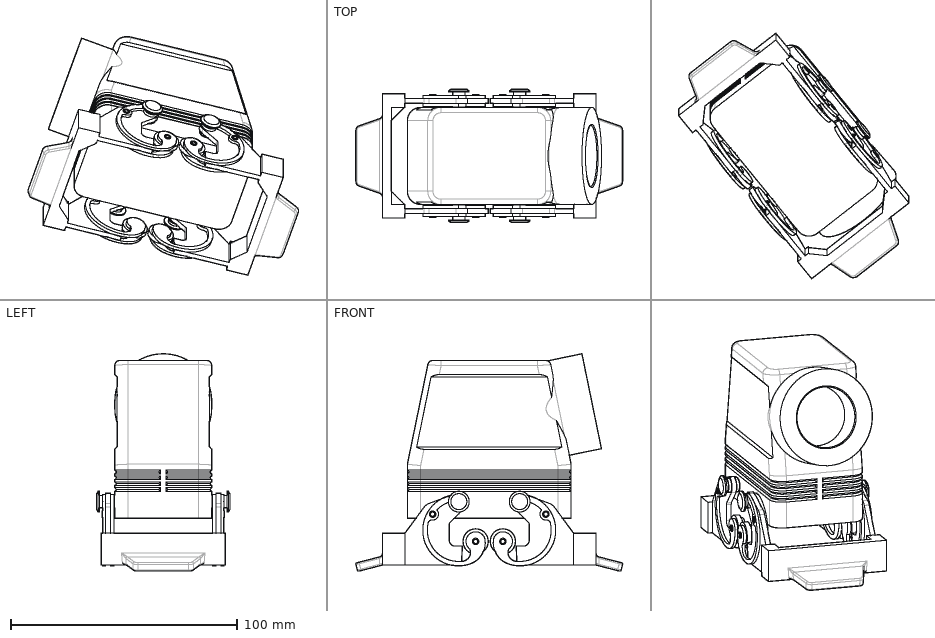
import cadquery as cq
import math


hood_length = 72.5
hood_width = 43.0
hood_height = 69.9
draft_start = 24.0
draft_angle = 11.6
hood_corner_radius = 5.9
hood_top_radius = 2.4

panel_depth = 1.1
panel_bottom = 30.6
panel_top = 63.7

groove_count = 4
groove_depth = 0.8
lowest_groove = 12.8
groove_pitch = 2.6
groove_web = 2.5

entry_diameter = hood_width
entry_bore = 26.9
entry_bore_chamfer = 0.5
entry_face_x = 45.3
entry_face_z = 51.8
entry_straight = 14.9
entry_cone = 7.5
entry_taper = 1.4

peg_x = -13.5
peg_z = 7.4
peg_radius = 2.78
peg_head_radius = 4.6
peg_head_height = 1.3
peg_head_bevel = 0.7
peg_cap_radius = 3.5
peg_end = 29.5

frame_outer_x = -47.2
frame_inner_x = -37.3
frame_width = 55.0
frame_top = -6.5
frame_bottom = -20.7
frame_wall = 3.9
gusset_leg = 5.9
gusset_drop = 1.4

tab_tilt = 14.5
tab_thickness = 3.9
tab_reach = 59.0
tab_root_half = 17.4
tab_tip_half = 12.9
tab_corner_radius = 2.4
tab_edge_radius = 0.7
tab_root_radius = 1.8

cheek_inner_y = 21.7
plate_inner_y = 23.3
plate_outer_y = 25.5
cheek_outer_y = 26.8
plate_eye_radius = 3.8
cheek_eye_radius = 3.2
plate_slope = 20.0
plate_shoulder = (-28.0, 6.1)
plate_shoulder_radius = 4.7
jaw_x = -17.6
jaw_ledge_z = -12.2
jaw_tip_x = -11.8
jaw_heel_x = -12.3
jaw_upper_radius = 1.2
jaw_lower_radius = 2.4

ring_center = (-13.6, -5.2)
ring_outer = 15.8
ring_inner = 13.8
neck_inner = 13.1
hook_outer = 10.2
hook_inner = 3.9
hook_start = -82.0
roller_center = (-6.0, -10.2)
roller_radius = 5.61
roller_cheek = 4.3
pad_radius = 2.6
pad_blend = 1.7

rivet_center = (-25.0, 1.9)
rivet_radius = 1.4
rivet_dimple = 1.0
rivet_height = 0.4
rivet_dimple_depth = 0.18


def polar(center, radius, degrees):
    angle = math.radians(degrees)
    return center[0] + radius * math.cos(angle), center[1] + radius * math.sin(angle)


def direction(start, end):
    return math.degrees(math.atan2(end[1] - start[1], end[0] - start[0]))


def circles_meet(center_a, radius_a, center_b, radius_b, side):
    """Point where two circles cross; side +1 is left of the line from a to b, -1 right."""
    distance = math.dist(center_a, center_b)
    along = (distance**2 + radius_a**2 - radius_b**2) / (2 * distance)
    turn = math.degrees(math.acos(along / radius_a))
    return polar(center_a, radius_a, direction(center_a, center_b) + side * turn)


def layer(inner_y, outer_y):
    """XZ workplane at outer_y together with the distance to extrude back to inner_y."""
    return cq.Workplane("XZ", origin=(0, outer_y, 0)), outer_y - inner_y


def disc(center, radius, inner_y, outer_y):
    plane, thickness = layer(inner_y, outer_y)
    return plane.center(*center).circle(radius).extrude(thickness)


def hood_shell():
    inset = (hood_height - draft_start) * math.tan(math.radians(draft_angle))
    half = hood_length / 2
    outline = [
        (-half, 0),
        (half, 0),
        (half, draft_start),
        (half - inset, hood_height),
        (inset - half, hood_height),
        (-half, draft_start),
    ]
    body = cq.Workplane("XZ").polyline(outline).close().extrude(hood_width / 2, both=True)
    corners = body.faces("<X or >X").edges("|Z")
    corners = corners.add(body.faces("<Y or >Y").edges("not(|X or |Z)"))
    body = corners.fillet(hood_corner_radius)
    return body.faces(">Z").edges().fillet(hood_top_radius)


def side_panel():
    """Cutter for the +Y side panel, with 45 degree top and bottom edges."""
    outer = hood_width / 2
    section = [
        (outer, panel_bottom),
        (outer - panel_depth, panel_bottom + panel_depth),
        (outer - panel_depth, panel_top - panel_depth),
        (outer, panel_top),
    ]
    return cq.Workplane("YZ").polyline(section).close().extrude(hood_length / 2, both=True)


def groove(z):
    """Cutter for one V-groove, interrupted by a web at each end of the hood."""
    plane = cq.Workplane("XY", origin=(0, 0, z))
    band = plane.rect(hood_length + 1.2, hood_width + 1.2).extrude(groove_depth, both=True)
    waist = (
        plane.sketch()
        .rect(hood_length - 2 * groove_depth, hood_width - 2 * groove_depth)
        .vertices()
        .fillet(hood_corner_radius - groove_depth)
        .finalize()
        .extrude(groove_depth, taper=-45)
    )
    waist = waist.union(waist.mirror("XY", (0, 0, z)))
    half = hood_length / 2
    web = (
        plane.moveTo(half, groove_web / 2)
        .lineTo(half - groove_depth, groove_web / 2 + groove_depth)
        .lineTo(half - groove_depth, -groove_web / 2 - groove_depth)
        .lineTo(half, -groove_web / 2)
        .close()
        .extrude(groove_depth, both=True)
    )
    return band.cut(waist).cut(web).cut(web.mirror("YZ"))


def cable_entry():
    """Return the angled entry and the cutter for its blind bore."""
    tilt = math.radians(draft_angle)
    face = cq.Plane(
        origin=(entry_face_x, 0, entry_face_z),
        xDir=(0, 1, 0),
        normal=(math.cos(tilt), 0, math.sin(tilt)),
    )
    entry = cq.Workplane(face).circle(entry_diameter / 2).extrude(-entry_straight)
    cone = cq.Solid.makeCone(
        entry_diameter / 2,
        entry_diameter / 2 - entry_taper,
        entry_cone,
        pnt=face.toWorldCoords((0, 0, -entry_straight)),
        dir=-face.zDir,
    )
    bore = cq.Workplane(face).circle(entry_bore / 2).extrude(-entry_straight)
    mouth = cq.Solid.makeCone(
        entry_bore / 2 + entry_bore_chamfer,
        entry_bore / 2,
        entry_bore_chamfer,
        pnt=face.origin,
        dir=-face.zDir,
    )
    return entry.union(cone), bore.union(mouth)


def peg():
    """Headed peg on the +Y side, rooted in the hood wall."""
    shank = disc((peg_x, peg_z), peg_radius, hood_width / 2 - 1.2, peg_end)
    head = disc((peg_x, peg_z), peg_head_radius, peg_end - peg_head_height, peg_end)
    head = head.faces(">Y").edges().chamfer(peg_head_bevel, peg_head_radius - peg_cap_radius)
    return shank.union(head)


def cross_frame():
    depth = frame_inner_x - frame_outer_x
    height = frame_top - frame_bottom
    pocket_x = frame_outer_x + frame_wall
    half_pocket = hood_width / 2
    frame = cq.Workplane("XY", origin=(frame_outer_x + depth / 2, 0, frame_bottom)).box(
        depth, frame_width, height, centered=(True, True, False)
    )
    pocket = cq.Workplane("XY", origin=(pocket_x, 0, frame_bottom)).box(
        depth, hood_width, height, centered=(False, True, False)
    )
    gusset = (
        cq.Workplane("XY", origin=(0, 0, frame_bottom))
        .moveTo(pocket_x, half_pocket)
        .lineTo(pocket_x + gusset_leg, half_pocket)
        .lineTo(pocket_x, half_pocket - gusset_leg)
        .close()
        .extrude(height - gusset_drop)
    )
    return frame.cut(pocket).union(gusset).union(gusset.mirror("XZ"))


def frame_with_tab():
    """Cross frame with the finger tab blended into its outer face."""
    tilt = math.radians(tab_tilt)
    plane = cq.Plane(
        origin=(frame_outer_x, 0, frame_bottom),
        xDir=(-math.cos(tilt), 0, -math.sin(tilt)),
        normal=(-math.sin(tilt), 0, math.cos(tilt)),
    )
    rounding = tab_edge_radius * (math.cos(tilt) + math.sin(tilt) - 1)
    lean = tab_thickness * math.sin(tilt)
    tip = (tab_reach + frame_outer_x + rounding - lean) / math.cos(tilt)
    root = -frame_wall / 2
    outline = [
        (root, -tab_root_half),
        (tip, -tab_tip_half),
        (tip, tab_tip_half),
        (root, tab_root_half),
    ]
    tab = cq.Workplane(plane).polyline(outline).close().extrude(tab_thickness)
    tip_corners = tab.faces("<X").edges("not |Y")
    whole = cross_frame().union(tip_corners.fillet(tab_corner_radius))

    root_edges = cq.selectors.BoxSelector(
        (frame_outer_x - 0.1, -tab_root_half - 1.2, frame_top - 1.2),
        (frame_outer_x + 0.1, tab_root_half + 1.2, frame_bottom + 0.1),
    )
    whole = whole.edges(root_edges).fillet(tab_root_radius)

    rims = whole.faces("<X").edges("|Y")
    return rims.fillet(tab_edge_radius)


def arm_plate():
    """Middle layer of an arm, from the cross frame to the eye around the peg."""
    eye = (peg_x, peg_z)
    top_tangent = polar(eye, plate_eye_radius, 90 + plate_slope)
    jaw_tangent = polar(eye, plate_eye_radius, -45)
    jaw_top_z = jaw_tangent[1] - (jaw_tangent[0] - jaw_x)
    plane, thickness = layer(plate_inner_y, plate_outer_y)
    plate = (
        plane.moveTo(frame_inner_x, frame_bottom)
        .lineTo(frame_inner_x, frame_top)
        .lineTo(*plate_shoulder)
        .lineTo(*top_tangent)
        .threePointArc(polar(eye, plate_eye_radius, 30), jaw_tangent)
        .lineTo(jaw_x, jaw_top_z)
        .lineTo(jaw_x, jaw_ledge_z)
        .lineTo(jaw_tip_x, jaw_ledge_z)
        .lineTo(jaw_heel_x, frame_bottom)
        .close()
        .extrude(thickness)
    )
    for corner, radius in (
        (plate_shoulder, plate_shoulder_radius),
        ((jaw_x, jaw_top_z), jaw_upper_radius),
        ((jaw_x, jaw_ledge_z), jaw_lower_radius),
    ):
        middle = (corner[0], (plate_inner_y + plate_outer_y) / 2, corner[1])
        plate = plate.edges(cq.NearestToPointSelector(middle)).fillet(radius)
    return plate


def cheek_ring(inner_y, outer_y):
    """Ring from the eye round the left side, with a pad at the rivet and a wider neck above it."""
    plane, thickness = layer(inner_y, outer_y)
    pad = disc(rivet_center, pad_radius, inner_y, outer_y)
    above_rivet = (
        plane.center(*rivet_center)
        .rect(4 * ring_outer, 2 * ring_outer)
        .extrude(thickness)
        .translate((0, 0, ring_outer))
    )
    neck = above_rivet.cut(disc(ring_center, neck_inner, inner_y, outer_y))
    opening = disc(ring_center, ring_inner, inner_y, outer_y).cut(pad).cut(neck)
    pad_corner = circles_meet(rivet_center, pad_radius, ring_center, ring_inner, -1)
    middle = (pad_corner[0], (inner_y + outer_y) / 2, pad_corner[1])
    opening = opening.edges(cq.NearestToPointSelector(middle)).fillet(pad_blend)

    far = 2 * ring_outer
    wedge = (
        plane.moveTo(*ring_center)
        .lineTo(*polar(ring_center, far, hook_start))
        .lineTo(*polar(ring_center, far, 0))
        .lineTo(*polar(ring_center, far, 90))
        .close()
        .extrude(thickness)
    )
    ring = disc(ring_center, ring_outer, inner_y, outer_y).cut(opening).cut(wedge)
    return ring.union(disc((peg_x, peg_z), cheek_eye_radius, inner_y, outer_y))


def cheek_hook(inner_y, outer_y):
    """Hook that sweeps from the foot of the ring up around the roller."""
    inner_center = polar(ring_center, ring_inner - hook_inner, hook_start)
    outer_center = circles_meet(
        ring_center, ring_outer - hook_outer, roller_center, hook_outer - roller_cheek, -1
    )
    leave_ring = direction(ring_center, outer_center)
    reach_roller = direction(outer_center, roller_center)
    throat = circles_meet(inner_center, hook_inner, roller_center, roller_cheek, -1)
    throat_angle = direction(inner_center, throat)

    plane, thickness = layer(inner_y, outer_y)
    return (
        plane.moveTo(*polar(ring_center, ring_inner, hook_start))
        .lineTo(*polar(ring_center, ring_outer, hook_start))
        .threePointArc(
            polar(ring_center, ring_outer, (hook_start + leave_ring) / 2),
            polar(ring_center, ring_outer, leave_ring),
        )
        .threePointArc(
            polar(outer_center, hook_outer, (leave_ring + reach_roller) / 2),
            polar(outer_center, hook_outer, reach_roller),
        )
        .threePointArc(polar(roller_center, roller_cheek, 120), throat)
        .threePointArc(
            polar(inner_center, hook_inner, (throat_angle + hook_start) / 2),
            polar(inner_center, hook_inner, hook_start),
        )
        .close()
        .extrude(thickness)
    )


def rivet(center):
    """Rivet head on the outer cheek, with a dimple in its middle."""
    head_y = cheek_outer_y + rivet_height
    head = disc(center, rivet_radius, plate_inner_y, head_y)
    return head.cut(disc(center, rivet_dimple, head_y - rivet_dimple_depth, head_y))


def arm():
    """The +Y arm of the left lever."""
    parts = arm_plate().union(disc(roller_center, roller_radius, plate_inner_y, plate_outer_y))
    for inner_y, outer_y in ((cheek_inner_y, plate_inner_y), (plate_outer_y, cheek_outer_y)):
        parts = parts.union(cheek_ring(inner_y, outer_y)).union(cheek_hook(inner_y, outer_y))
    for center in (rivet_center, roller_center):
        parts = parts.union(rivet(center))
    return parts


def lever():
    side = arm()
    return frame_with_tab().union(side).union(side.mirror("XZ"))


hood = hood_shell()
panel = side_panel()
hood = hood.cut(panel).cut(panel.mirror("XZ"))
for index in range(groove_count):
    hood = hood.cut(groove(lowest_groove + index * groove_pitch))
entry, bore = cable_entry()
hood = hood.union(entry).cut(bore)

left_peg = peg()
left_side = lever().union(left_peg).union(left_peg.mirror("XZ"))
result = hood.union(left_side).union(left_side.mirror("YZ"))